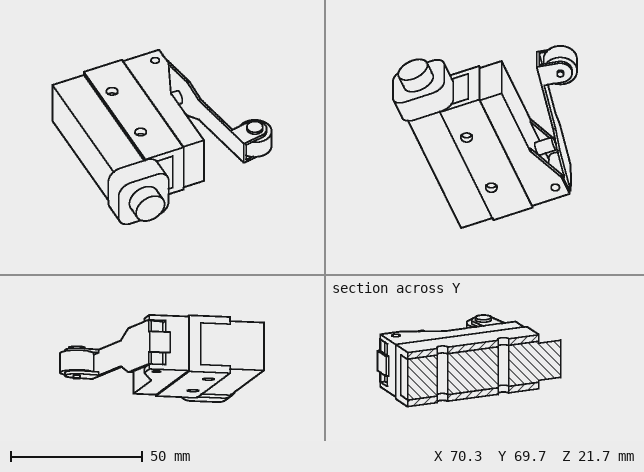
import cadquery as cq
import math


CASE_LENGTH = 54.75
SADDLE_BOTTOM = 13.2
SADDLE_TOP = 29.28
SADDLE_THICKNESS = 21.7
HEAD_END_INSET = 0.5
HEAD_RIGHT_END = 54.05
HEAD_THICKNESS = 20.9
DECK_Y = 38.15
CHEEK_TOP = 44.62
CHEEK_FLAT_END = 8.95
CHEEK_SLOPE_END = 24.75
PLUNGER_X = 17.65
PLUNGER_RADIUS = 2.55
PLUNGER_TOP = 45.1

HOLE_DIAMETER = 4.3
HOLE_SPACING = 25.4
HOLE_FIRST_X = 14.55
HOLE_Y = 18.2

COVER_THICKNESS = 18.5
TONGUE_THICKNESS = 16.1
TONGUE_TOP = 24.75
FLANGE_LENGTH = 9.15
FLANGE_HEIGHT = 21.0
FLANGE_THICKNESS = 21.0
FLANGE_BOTTOM = -2.37
FLANGE_CORNER_RADIUS = 5.0
CABLE_ENTRY_DIAMETER = 12.0
CABLE_ENTRY_LENGTH = 5.91

HINGE_X = 5.38
HINGE_Y = 40.68
HINGE_DIAMETER = 3.2
HUB_RADIUS = 2.45
LEVER_ANGLE = 9.7
LEVER_WIDTH = 17.0
ARM_WIDTH = 9.9
ARM_UNDERSIDE = 4.05
SHEET_THICKNESS = 1.0
TAPER_START = 15.5
TAPER_END = 23.05
TAB_WIDTH = 7.9
TAB_BOTTOM = 36.72

ROLLER_ALONG = 48.4
ROLLER_ABOVE = 12.3
ROLLER_RADIUS = 6.38
FORK_RADIUS = 4.5
FORK_EAR_THICKNESS = 1.2
RIVET_HEAD_DIAMETER = 6.1
RIVET_SHANK_DIAMETER = 2.5
RIVET_PROJECTION = 0.98

ROLLER_WIDTH = ARM_WIDTH - 2 * FORK_EAR_THICKNESS
LEVER_END = ROLLER_ALONG + FORK_RADIUS
ARM_TOP = ARM_UNDERSIDE + SHEET_THICKNESS
TAB_OUTER_X = HEAD_END_INSET - SHEET_THICKNESS


def block(x_range, y_range, thickness):
    """Box spanning the two ranges, centred on the middle plane."""
    x_size = x_range[1] - x_range[0]
    y_size = y_range[1] - y_range[0]
    box = cq.Workplane("XY").box(x_size, y_size, thickness, centered=(False, False, True))
    return box.translate((x_range[0], y_range[0], 0))


def cylinder_z(x, y, radius, z_low, z_high):
    """Cylinder along Z between two heights."""
    return cq.Workplane("XY", origin=(x, y, z_low)).circle(radius).extrude(z_high - z_low)


def drill_mounting_holes(body):
    for index in range(2):
        x = HOLE_FIRST_X + index * HOLE_SPACING
        reach = SADDLE_THICKNESS
        body = body.cut(cylinder_z(x, HOLE_Y, HOLE_DIAMETER / 2, -reach, reach))
    return body


def make_housing():
    saddle = block((0, CASE_LENGTH), (SADDLE_BOTTOM, SADDLE_TOP), SADDLE_THICKNESS)
    tongue_slot = block((0, CASE_LENGTH), (SADDLE_BOTTOM, TONGUE_TOP), TONGUE_THICKNESS)
    head = (
        cq.Workplane("XY")
        .moveTo(HEAD_END_INSET, SADDLE_TOP)
        .lineTo(HEAD_RIGHT_END, SADDLE_TOP)
        .lineTo(HEAD_RIGHT_END, DECK_Y)
        .lineTo(CHEEK_SLOPE_END, DECK_Y)
        .lineTo(CHEEK_FLAT_END, CHEEK_TOP)
        .lineTo(HEAD_END_INSET, CHEEK_TOP)
        .close()
        .extrude(HEAD_THICKNESS / 2, both=True)
    )
    lever_slot = block((HEAD_END_INSET, CHEEK_SLOPE_END), (DECK_Y, CHEEK_TOP), LEVER_WIDTH)
    plunger = (
        cq.Workplane("XZ", origin=(PLUNGER_X, SADDLE_TOP, 0))
        .circle(PLUNGER_RADIUS)
        .extrude(SADDLE_TOP - PLUNGER_TOP)
    )
    half = HEAD_THICKNESS / 2
    hinge_hole = cylinder_z(HINGE_X, HINGE_Y, HINGE_DIAMETER / 2, -half, half)
    housing = saddle.cut(tongue_slot).union(head.cut(lever_slot)).union(plunger).cut(hinge_hole)
    return drill_mounting_holes(housing)


def make_cover():
    base = block((0, CASE_LENGTH), (0, SADDLE_BOTTOM), COVER_THICKNESS)
    tongue = block((0, CASE_LENGTH), (SADDLE_BOTTOM, TONGUE_TOP), TONGUE_THICKNESS)
    flange_end = CASE_LENGTH + FLANGE_LENGTH
    flange = block(
        (CASE_LENGTH, flange_end),
        (FLANGE_BOTTOM, FLANGE_BOTTOM + FLANGE_HEIGHT),
        FLANGE_THICKNESS,
    )
    flange = flange.edges("|X").fillet(FLANGE_CORNER_RADIUS)
    cable_entry = (
        cq.Workplane("YZ", origin=(flange_end, FLANGE_BOTTOM + FLANGE_HEIGHT / 2, 0))
        .circle(CABLE_ENTRY_DIAMETER / 2)
        .extrude(CABLE_ENTRY_LENGTH)
    )
    return drill_mounting_holes(base.union(tongue).union(flange).union(cable_entry))


def place_lever(body):
    """Tilt a body drawn about the hinge axis and move it to the hinge."""
    return body.rotate((0, 0, 0), (0, 0, 1), LEVER_ANGLE).translate((HINGE_X, HINGE_Y, 0))


def make_arm():
    """Tapered sheet arm whose left end is cut off square to X at the switch head."""
    far_left = -2 * HINGE_X
    half_lever = LEVER_WIDTH / 2
    half_arm = ARM_WIDTH / 2
    flat = (
        cq.Workplane("XZ", origin=(0, ARM_UNDERSIDE, 0))
        .polyline([
            (far_left, -half_lever),
            (TAPER_START, -half_lever),
            (TAPER_END, -half_arm),
            (LEVER_END, -half_arm),
            (LEVER_END, half_arm),
            (TAPER_END, half_arm),
            (TAPER_START, half_lever),
            (far_left, half_lever),
        ])
        .close()
        .extrude(-SHEET_THICKNESS)
    )
    beyond_head = block((2 * far_left, HEAD_END_INSET), (0, 2 * CHEEK_TOP), 2 * LEVER_WIDTH)
    return place_lever(flat).cut(beyond_head)


def make_tab():
    """Tab bent down over the end of the switch head, its top following the arm."""
    slope = math.tan(math.radians(LEVER_ANGLE))
    rise = ARM_TOP / math.cos(math.radians(LEVER_ANGLE))

    def arm_top_y(x):
        return HINGE_Y + rise + (x - HINGE_X) * slope

    return (
        cq.Workplane("XY")
        .moveTo(TAB_OUTER_X, TAB_BOTTOM)
        .lineTo(HEAD_END_INSET, TAB_BOTTOM)
        .lineTo(HEAD_END_INSET, arm_top_y(HEAD_END_INSET))
        .lineTo(TAB_OUTER_X, arm_top_y(TAB_OUTER_X))
        .close()
        .extrude(TAB_WIDTH / 2, both=True)
    )


def make_hub():
    """Round-bottomed hub under the arm with the hinge pin running through it."""
    hub = (
        cq.Workplane("XY")
        .moveTo(-HUB_RADIUS, ARM_UNDERSIDE)
        .lineTo(-HUB_RADIUS, 0)
        .threePointArc((0, -HUB_RADIUS), (HUB_RADIUS, 0))
        .lineTo(HUB_RADIUS, ARM_UNDERSIDE)
        .close()
        .extrude(LEVER_WIDTH / 2, both=True)
    )
    half = HEAD_THICKNESS / 2
    return hub.union(cylinder_z(0, 0, HINGE_DIAMETER / 2, -half, half))


def make_fork():
    """Two round-ended ears that hold the roller, with the rivet across them."""
    ears = (
        cq.Workplane("XY")
        .moveTo(ROLLER_ALONG - FORK_RADIUS, ARM_UNDERSIDE)
        .lineTo(ROLLER_ALONG - FORK_RADIUS, ROLLER_ABOVE)
        .threePointArc(
            (ROLLER_ALONG, ROLLER_ABOVE + FORK_RADIUS),
            (ROLLER_ALONG + FORK_RADIUS, ROLLER_ABOVE),
        )
        .lineTo(LEVER_END, ARM_UNDERSIDE)
        .close()
        .extrude(ARM_WIDTH / 2, both=True)
    )
    gap = block(
        (ROLLER_ALONG - FORK_RADIUS, LEVER_END),
        (ARM_TOP, ROLLER_ABOVE + FORK_RADIUS),
        ROLLER_WIDTH,
    )
    ear_face = ARM_WIDTH / 2
    rivet_end = ear_face + RIVET_PROJECTION
    shank = cylinder_z(ROLLER_ALONG, ROLLER_ABOVE, RIVET_SHANK_DIAMETER / 2, -rivet_end, rivet_end)
    head = cylinder_z(ROLLER_ALONG, ROLLER_ABOVE, RIVET_HEAD_DIAMETER / 2, ear_face, rivet_end)
    return ears.cut(gap).union(shank).union(head)


def make_lever():
    lever = make_arm().union(make_tab())
    return lever.union(place_lever(make_hub())).union(place_lever(make_fork()))


def make_roller():
    half = ROLLER_WIDTH / 2
    roller = cylinder_z(ROLLER_ALONG, ROLLER_ABOVE, ROLLER_RADIUS, -half, half)
    bore = cylinder_z(ROLLER_ALONG, ROLLER_ABOVE, RIVET_SHANK_DIAMETER / 2, -half, half)
    return place_lever(roller.cut(bore))


housing = make_housing()
cover = make_cover()
lever = make_lever()
roller = make_roller()

result = cq.Compound.makeCompound([housing.val(), cover.val(), lever.val(), roller.val()])